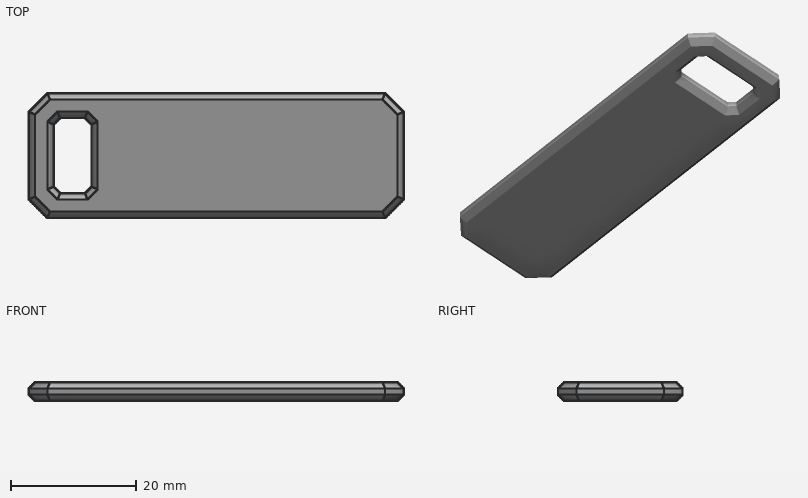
import cadquery as cq

length = 60
width = 20.0
thickness = 3
corner_cut = 3
edge_bevel = 1.0

slot_length = 6
slot_width = 12
slot_corner_cut = 1.0
end_to_slot = 4.0
slot_x = -length / 2 + end_to_slot + slot_length / 2


def cut_corner_block(size_x, size_y, corner):
    """Block of plate thickness, standing on Z = 0, with its four upright corners cut at 45 degrees."""
    block = cq.Workplane("XY").box(size_x, size_y, thickness, centered=(True, True, False))
    return block.edges("|Z").chamfer(corner)


plate = cut_corner_block(length, width, corner_cut)
slot = cut_corner_block(slot_length, slot_width, slot_corner_cut).translate((slot_x, 0, 0))

result = plate.cut(slot).faces("<Z or >Z").edges().chamfer(edge_bevel)